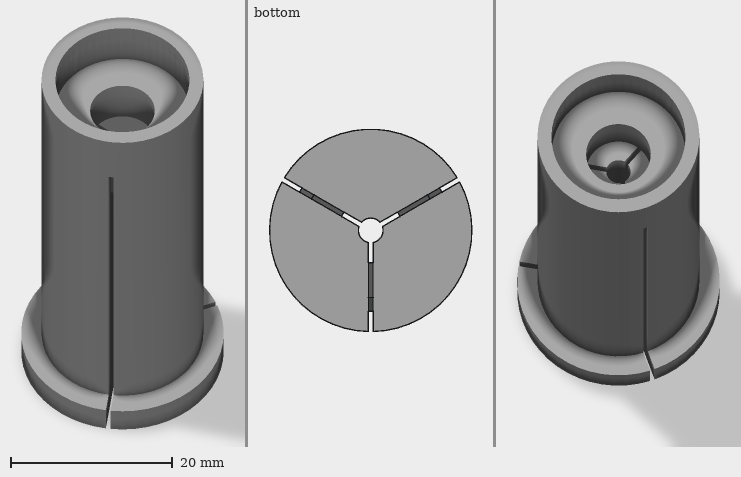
import cadquery as cq

total_height = 52.9
flange_radius = 25.0 / 2
flange_height = 3.55
barrel_radius = 20.0 / 2
bore_radius = 3.0 / 2

slot_count = 3
slot_half_width = 0.295
slot_top_depth = 6.8
slot_end_slope = 0.7
first_slot_angle = 90.0

ring_outer_radius = 16.55 / 2
ring_inner_radius = 8.0 / 2
ring_height = 6.0
ring_top_depth = 6.0

slot_height = total_height - slot_top_depth
seat_height = total_height - ring_top_depth - ring_height


def make_cylinder(radius, bottom, top):
    """Upright cylinder on the common axis."""
    return cq.Workplane("XY", origin=(0, 0, bottom)).circle(radius).extrude(top - bottom)


def slot_end_height(radius):
    """Height of the sloping slot end at a given distance from the axis."""
    return slot_height + (radius - barrel_radius) * slot_end_slope


def make_radial_slot(angle):
    """Cutter for one slot, reaching from the axis out to the flange rim."""
    return (
        cq.Workplane("XZ")
        .moveTo(0, 0)
        .lineTo(flange_radius, 0)
        .lineTo(flange_radius, slot_end_height(flange_radius))
        .lineTo(ring_outer_radius, slot_end_height(ring_outer_radius))
        .lineTo(0, slot_end_height(ring_outer_radius))
        .close()
        .extrude(slot_half_width, both=True)
        .rotate((0, 0, 0), (0, 0, 1), angle)
    )


def make_sleeve():
    """Flanged barrel with a through bore, a counterbore for the ring and radial slots."""
    flange = make_cylinder(flange_radius, 0, flange_height)
    barrel = make_cylinder(barrel_radius, 0, total_height)
    bore = make_cylinder(bore_radius, 0, total_height)
    counterbore = make_cylinder(ring_outer_radius, seat_height, total_height)
    body = flange.union(barrel).cut(bore).cut(counterbore)
    for index in range(slot_count):
        body = body.cut(make_radial_slot(first_slot_angle + index * 360.0 / slot_count))
    return body


def make_ring():
    """Plain ring that fills the lower part of the counterbore."""
    ring_top = seat_height + ring_height
    disc = make_cylinder(ring_outer_radius, seat_height, ring_top)
    hole = make_cylinder(ring_inner_radius, seat_height, ring_top)
    return disc.cut(hole)


sleeve = make_sleeve()
ring = make_ring()

result = cq.Compound.makeCompound([sleeve.solids().val(), ring.solids().val()])